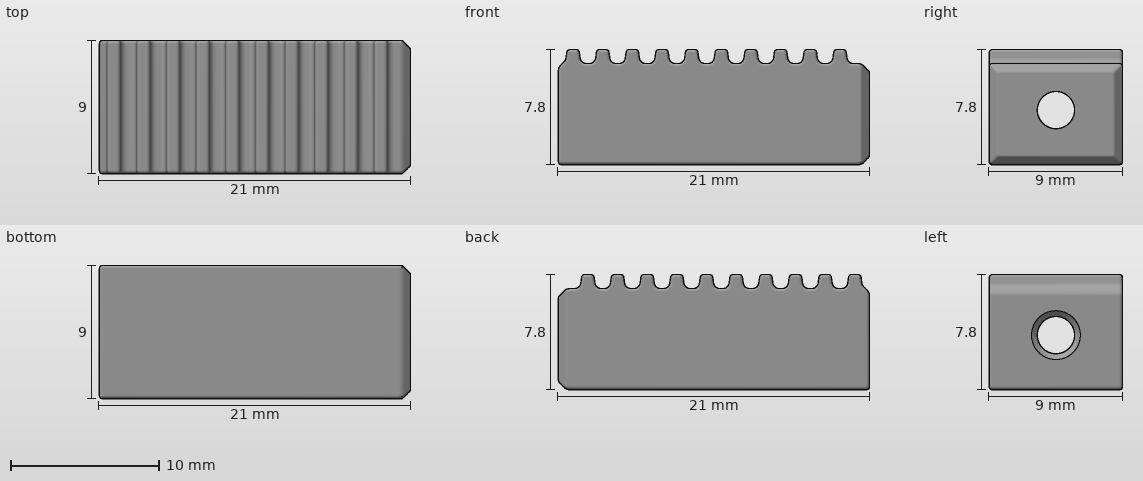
import cadquery as cq
import math

length = 21.0
width = 9.0
height = 7.8
edge_radius = 0.23
end_chamfer = 0.57
long_edge_radius = 0.55

tooth_count = 10
pitch = length / (tooth_count + 0.5)
groove_depth = 0.95
groove_radius = 0.4
groove_flat = 0.23
flank_angle = math.radians(8)
groove_bottom_angle = math.radians(90)
lead_in_angle = math.radians(45)

hole_diameter = 2.5
countersink_diameter = 3.3
hole_height = 3.7

groove_floor = height - groove_depth
arc_height = groove_floor + groove_radius
half_flat = groove_flat / 2


def arc_point(groove_x, side, angle):
    """Point on a groove's corner arc; side is +1 or -1, angle is measured below horizontal."""
    reach = half_flat + groove_radius * math.cos(angle)
    return (groove_x + side * reach, arc_height - groove_radius * math.sin(angle))


def tip_point(groove_x, side):
    """Sharp tooth tip where the sloping flank of a groove meets the top."""
    flank_x, flank_z = arc_point(groove_x, side, flank_angle)
    return (flank_x + side * (height - flank_z) * math.tan(flank_angle), height)


def arc_middle(groove_x, side, end_angle):
    """Point midway along the corner arc between the flank and the end angle."""
    return arc_point(groove_x, side, (flank_angle + end_angle) / 2)


def toothed_profile():
    """Sharp side outline in XZ: part of a groove leads in at the -X end, a flat shelf closes the +X end."""
    lead_in_x, lead_in_z = arc_point(0, 1, lead_in_angle)
    profile = (
        cq.Workplane("XZ")
        .moveTo(0, 0)
        .lineTo(0, lead_in_z - lead_in_x)
        .lineTo(lead_in_x, lead_in_z)
        .threePointArc(arc_middle(0, 1, lead_in_angle), arc_point(0, 1, flank_angle))
        .lineTo(*tip_point(0, 1))
    )
    for index in range(1, tooth_count + 1):
        groove_x = index * pitch
        profile = (
            profile.lineTo(*tip_point(groove_x, -1))
            .lineTo(*arc_point(groove_x, -1, flank_angle))
            .threePointArc(arc_middle(groove_x, -1, groove_bottom_angle), (groove_x - half_flat, groove_floor))
        )
        if index < tooth_count:
            profile = (
                profile.lineTo(groove_x + half_flat, groove_floor)
                .threePointArc(arc_middle(groove_x, 1, groove_bottom_angle), arc_point(groove_x, 1, flank_angle))
                .lineTo(*tip_point(groove_x, 1))
            )
    return profile.lineTo(length, groove_floor).lineTo(length, 0).close()


def edge_near(x, z):
    """Selector for the crosswise edge at the given place in XZ."""
    return cq.selectors.NearestToPointSelector((x, 0, z))


def rounded_block():
    block = toothed_profile().extrude(width / 2, both=True)
    block = block.faces(">X").edges().chamfer(end_chamfer)

    lead_in_x, lead_in_z = arc_point(0, 1, lead_in_angle)
    chamfer_start = length - end_chamfer
    block = (
        block.edges(edge_near(0, lead_in_z - lead_in_x))
        .add(block.edges(edge_near(chamfer_start, groove_floor)))
        .add(block.edges(edge_near(chamfer_start, 0)))
        .fillet(long_edge_radius)
    )

    tips = block.faces(">Z").edges("|Y")
    sides = block.faces("<Y or >Y").edges()
    bottom = block.faces("<Z").edges()
    end_region = cq.selectors.BoxSelector((chamfer_start, -width, -height), (2 * length, width, 2 * height))
    chamfered_end = block.edges(end_region)
    return tips.add(sides).add(bottom).add(chamfered_end).fillet(edge_radius)


def lengthwise_hole():
    drill = cq.Workplane("YZ").center(0, hole_height).circle(hole_diameter / 2).extrude(length)
    countersink_depth = (countersink_diameter - hole_diameter) / 2
    countersink = cq.Solid.makeCone(
        countersink_diameter / 2,
        hole_diameter / 2,
        countersink_depth,
        pnt=cq.Vector(0, 0, hole_height),
        dir=cq.Vector(1, 0, 0),
    )
    return drill.union(cq.Workplane(countersink))


result = rounded_block().cut(lengthwise_hole())